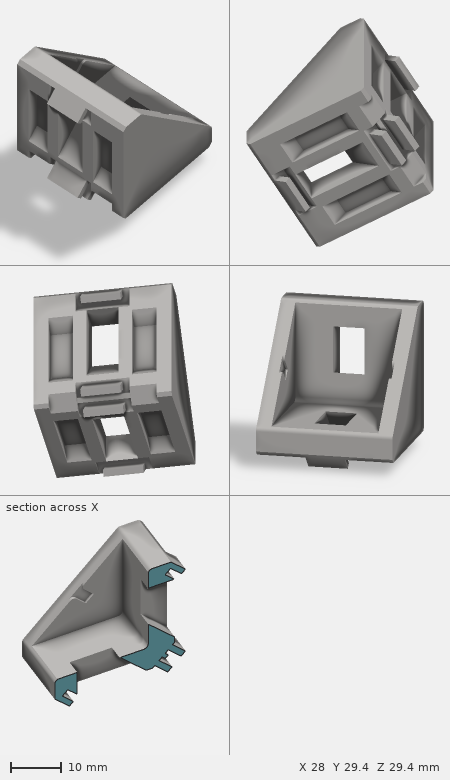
import cadquery as cq
import math


WIDTH = 28.0
LEG = 26.95
LIP = 5.4
LIP_ROUND = 1.0
END_CHAMFER = 0.85
CORNER_CHAMFER = 0.7
SLANT_SUM = LEG + LIP

INNER_WIDTH = 21.9
WALL = 6.0
POCKET_ROUND = 1.0

NOTCH_WIDTH = 2.5
NOTCH_RECESS = 0.55
NOTCH_DEPTH = 4.0
NOTCH_ROUND = 1.0

RELIEF = 2.8

SLOT_WIDTH = 6.45
SLOT_START = 6.4

RECESS_WIDTH = 4.95
RECESS_START = 5.6
RECESS_END = 20.95
RECESS_DEPTH = 2.5

GROOVE_WIDTH = 10.9
GROOVE_SPAN = 4.2
END_GROOVE_TOP = LEG - END_CHAMFER
SLOT_END = END_GROOVE_TOP - GROOVE_SPAN
CORNER_GROOVE_TOP = 4.92
CORNER_WEB_SUM = 3.5
CLIP_WIDTH = 8.1
CLIP_REACH = 2.45
END_CLIP_THICKNESS = 1.33
CORNER_CLIP_THICKNESS = 1.45
CORNER_CLIP_LINE = 4.04


def prism(points, width, center_x=0.0):
    """Extrude a (Y, Z) outline symmetrically about X = center_x."""
    outline = cq.Workplane("YZ", origin=(center_x, 0, 0)).polyline(points).close()
    return outline.extrude(width / 2, both=True)


def both_legs(shape):
    """Add the copy of a front-leg shape that belongs to the bottom leg."""
    return shape.union(shape.mirror((0, 1, -1)))


def make_body():
    points = [
        (CORNER_CHAMFER, 0),
        (LEG - END_CHAMFER, 0),
        (LEG, END_CHAMFER),
        (LEG, LIP),
        (LIP, LEG),
        (END_CHAMFER, LEG),
        (0, LEG - END_CHAMFER),
        (0, CORNER_CHAMFER),
    ]
    body = prism(points, WIDTH)
    for y, z in ((LEG, LIP), (LIP, LEG)):
        edge = cq.selectors.NearestToPointSelector((0, y, z))
        body = body.edges("|X").edges(edge).fillet(LIP_ROUND)
    return body


def make_pocket():
    far = SLANT_SUM
    block = prism([(WALL, WALL), (far, WALL), (far, far), (WALL, far)], INNER_WIDTH)
    corner = cq.selectors.NearestToPointSelector((0, WALL, WALL))
    return block.edges("|X").edges(corner).fillet(POCKET_ROUND)


def make_notches():
    """Channel across both side walls, entering square to the slanted side."""
    middle = SLANT_SUM / 2
    plane = cq.Plane(origin=(0, middle, middle), xDir=(0, 1, -1), normal=(1, 0, 0))
    half = NOTCH_WIDTH / 2
    mouth = half + NOTCH_ROUND
    bend = NOTCH_ROUND * math.sqrt(0.5)
    outline = (
        cq.Workplane(plane)
        .moveTo(-half, -NOTCH_DEPTH)
        .lineTo(half, -NOTCH_DEPTH)
        .lineTo(half, -NOTCH_ROUND)
        .threePointArc((mouth - bend, bend - NOTCH_ROUND), (mouth, 0))
        .lineTo(-mouth, 0)
        .threePointArc((bend - mouth, bend - NOTCH_ROUND), (-half, -NOTCH_ROUND))
        .close()
    )
    return outline.extrude(INNER_WIDTH / 2 + NOTCH_RECESS, both=True)


def make_slot():
    """Slot whose corner-side end rises at 45 degrees through the leg."""
    points = [(0, SLOT_START), (WALL, SLOT_START + WALL), (WALL, SLOT_END), (0, SLOT_END)]
    return prism(points, SLOT_WIDTH)


def make_recesses():
    points = [
        (0, RECESS_START),
        (RECESS_DEPTH, RECESS_START + RECESS_DEPTH),
        (RECESS_DEPTH, RECESS_END - RECESS_DEPTH),
        (0, RECESS_END),
    ]
    offset = (INNER_WIDTH - RECESS_WIDTH) / 2
    return prism(points, RECESS_WIDTH, -offset).union(prism(points, RECESS_WIDTH, offset))


def make_groove(top):
    depth = GROOVE_SPAN / 2
    return prism([(0, top), (depth, top - depth), (0, top - GROOVE_SPAN)], GROOVE_WIDTH)


def make_corner_cut(size, width):
    return prism([(0, 0), (size, 0), (0, size)], width)


def make_clip(line, root_sum, thickness):
    """Slanted tongue from the groove flank Y + Z = root_sum, upper side Z = Y + line."""
    drop = thickness * math.sqrt(2)
    tip_y = -CLIP_REACH
    tip_z = tip_y + line
    root_y = (root_sum - line) / 2
    root_z = (root_sum + line) / 2
    points = [
        (root_y, root_z),
        (tip_y, tip_z),
        (tip_y + drop / 2, tip_z - drop / 2),
        (root_y + drop / 2, root_z - drop / 2),
    ]
    return prism(points, CLIP_WIDTH)


body = make_body().cut(make_pocket()).cut(make_notches())
body = body.cut(make_corner_cut(RELIEF, INNER_WIDTH))
body = body.cut(make_corner_cut(CORNER_WEB_SUM, GROOVE_WIDTH))

for feature in (
    make_slot(),
    make_recesses(),
    make_groove(END_GROOVE_TOP),
    make_groove(CORNER_GROOVE_TOP),
):
    body = body.cut(both_legs(feature))

end_clip = make_clip(END_GROOVE_TOP, END_GROOVE_TOP, END_CLIP_THICKNESS)
corner_clip = make_clip(CORNER_CLIP_LINE, CORNER_GROOVE_TOP, CORNER_CLIP_THICKNESS)
result = body.union(both_legs(end_clip)).union(both_legs(corner_clip))